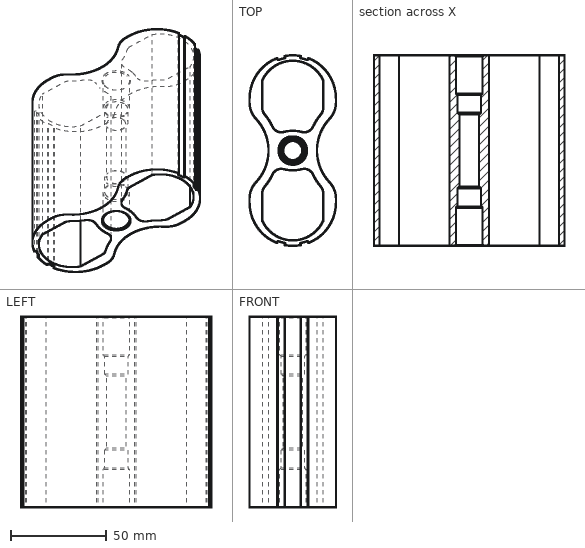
import cadquery as cq
import math

height = 100.0
width = 45.41
length = 100.08
lobe_radius = width / 2
lobe_center_y = length / 2 - lobe_radius

shoulder_radius = 12.0
shoulder_start_y = 25.0
waist_half_width = 12.75

pocket_half_width = 15.9
pocket_arc_radius = 17.5
pocket_top_y = 47.05
waist_wall = 5.0
bridge_half_length = 10.45
bridge_bulge_radius = 18.0
pocket_corner_radius = 5.0

groove_depth = 1.1
groove_inner_angle = 10.7
groove_outer_angle = 21.0

bore_radius = 5.0
middle_step_radius = 6.1
mouth_step_radius = 6.9
mouth_chamfer = 0.6
mouth_step_depth = 20.0
middle_step_depth = 30.0

shoulder_center_x = lobe_radius - shoulder_radius
center_gap = waist_half_width - shoulder_center_x
hollow_radius = (center_gap**2 + shoulder_start_y**2 - shoulder_radius**2) / (
    2 * (shoulder_radius - center_gap)
)
hollow_center_x = waist_half_width + hollow_radius


def arc_point(center_x, center_y, radius, angle):
    """Point on a circle at an angle in degrees from +X."""
    turn = math.radians(angle)
    return center_x + radius * math.cos(turn), center_y + radius * math.sin(turn)


def flip_x(point):
    return -point[0], point[1]


def flip_y(point):
    return point[0], -point[1]


def flip_both(point):
    return -point[0], -point[1]


def make_body():
    lobe_start = (lobe_radius, lobe_center_y)
    lobe_tip = (0, lobe_center_y + lobe_radius)
    shoulder_start = (lobe_radius, shoulder_start_y)
    tangent_angle = math.degrees(
        math.atan2(-shoulder_start_y, hollow_center_x - shoulder_center_x)
    )
    shoulder_middle = arc_point(shoulder_center_x, shoulder_start_y, shoulder_radius, tangent_angle / 2)
    shoulder_end = arc_point(shoulder_center_x, shoulder_start_y, shoulder_radius, tangent_angle)
    waist = (waist_half_width, 0)
    return (
        cq.Workplane("XY")
        .moveTo(*lobe_start)
        .threePointArc(lobe_tip, flip_x(lobe_start))
        .lineTo(*flip_x(shoulder_start))
        .threePointArc(flip_x(shoulder_middle), flip_x(shoulder_end))
        .threePointArc(flip_x(waist), flip_both(shoulder_end))
        .threePointArc(flip_both(shoulder_middle), flip_both(shoulder_start))
        .lineTo(*flip_both(lobe_start))
        .threePointArc(flip_y(lobe_tip), flip_y(lobe_start))
        .lineTo(*flip_y(shoulder_start))
        .threePointArc(flip_y(shoulder_middle), flip_y(shoulder_end))
        .threePointArc(waist, shoulder_end)
        .threePointArc(shoulder_middle, shoulder_start)
        .close()
        .extrude(height)
    )


def make_pocket():
    """Pocket of the +Y lobe: a flat-sided round, less the waist walls and the bulged bridge."""
    arc_center_y = pocket_top_y - pocket_arc_radius
    flat_top_y = arc_center_y + math.sqrt(pocket_arc_radius**2 - pocket_half_width**2)
    lower_part = (
        cq.Workplane("XY")
        .moveTo(-pocket_half_width, 0)
        .lineTo(pocket_half_width, 0)
        .lineTo(pocket_half_width, flat_top_y)
        .lineTo(-pocket_half_width, flat_top_y)
        .close()
        .extrude(height)
    )
    arc_cap = (
        cq.Workplane("XY")
        .moveTo(pocket_half_width, flat_top_y)
        .threePointArc((0, pocket_top_y), (-pocket_half_width, flat_top_y))
        .close()
        .extrude(height)
    )
    waist_walls = (
        cq.Workplane("XY")
        .pushPoints([(hollow_center_x, 0), (-hollow_center_x, 0)])
        .circle(hollow_radius + waist_wall)
        .extrude(height)
    )
    bridge = (
        cq.Workplane("XY")
        .center(0, bridge_half_length - bridge_bulge_radius)
        .circle(bridge_bulge_radius)
        .extrude(height)
    )
    lower_part = lower_part.cut(waist_walls).cut(bridge)
    lower_part = lower_part.edges("|Z and (not >Y)").fillet(pocket_corner_radius)
    return lower_part.union(arc_cap)


def make_grooves():
    """Two full-height grooves with radial sides and a round floor, either side of the +Y tab."""
    floor_radius = lobe_radius - groove_depth
    clear_radius = lobe_radius + groove_depth
    middle_angle = (groove_inner_angle + groove_outer_angle) / 2

    def rim_point(radius, angle_from_y):
        return arc_point(0, lobe_center_y, radius, 90 - angle_from_y)

    groove = (
        cq.Workplane("XY")
        .moveTo(*rim_point(floor_radius, groove_inner_angle))
        .threePointArc(
            rim_point(floor_radius, middle_angle),
            rim_point(floor_radius, groove_outer_angle),
        )
        .lineTo(*rim_point(clear_radius, groove_outer_angle))
        .lineTo(*rim_point(clear_radius, groove_inner_angle))
        .close()
        .extrude(height)
    )
    return groove.union(groove.mirror("YZ"))


def make_hole():
    """Through hole turned about Z, narrowing in 45 degree steps from each end to the bore."""
    mouth_radius = mouth_step_radius + mouth_chamfer
    upper_half = [
        (mouth_radius, height),
        (mouth_step_radius, height - mouth_chamfer),
        (mouth_step_radius, height - mouth_step_depth),
        (middle_step_radius, height - mouth_step_depth - (mouth_step_radius - middle_step_radius)),
        (middle_step_radius, height - middle_step_depth),
        (bore_radius, height - middle_step_depth - (middle_step_radius - bore_radius)),
    ]
    lower_half = [(radius, height - z) for radius, z in reversed(upper_half)]
    return (
        cq.Workplane("XZ")
        .polyline([(0, height)] + upper_half + lower_half + [(0, 0)])
        .close()
        .revolve(360, (0, 0, 0), (0, 1, 0))
    )


result = make_body().cut(make_hole())
for end_cut in (make_pocket(), make_grooves()):
    result = result.cut(end_cut).cut(end_cut.mirror("XZ"))